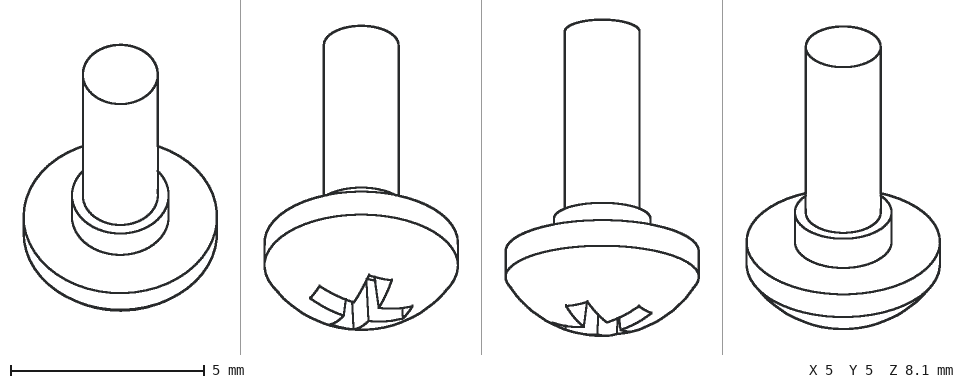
import cadquery as cq
import math

SHANK_DIAMETER = 1.94
SHANK_LENGTH = 5.1
SHOULDER_DIAMETER = 2.5
SHOULDER_LENGTH = 0.9
HEAD_DIAMETER = 5.0
RIM_HEIGHT = 0.7
HEAD_HEIGHT = 2.1
RECESS_SPAN = 2.65
RECESS_WIDTH = 0.7
RECESS_DEPTH = 1.2
RECESS_DRAFT = 5

head_radius = HEAD_DIAMETER / 2
corner_radius = math.hypot(RECESS_WIDTH / 2, RECESS_WIDTH / 2)
corner_drop = HEAD_HEIGHT - RIM_HEIGHT
center_rise = (head_radius**2 - corner_radius**2 - corner_drop**2) / (2 * corner_drop)
dome_radius = math.hypot(head_radius, center_rise)
dome_center_z = center_rise - RIM_HEIGHT
apex_z = dome_center_z - dome_radius


def make_head():
    """Short cylindrical rim with a spherical dome below it."""
    mid_radius = head_radius / 2
    mid_z = dome_center_z - math.sqrt(dome_radius**2 - mid_radius**2)
    return (
        cq.Workplane("XZ")
        .lineTo(head_radius, 0)
        .lineTo(head_radius, -RIM_HEIGHT)
        .threePointArc((mid_radius, mid_z), (0, apex_z))
        .close()
        .revolve(360, (0, 0, 0), (0, 1, 0))
    )


def make_stem():
    """Shoulder and shank standing on the seat."""
    shoulder = cq.Workplane("XY").circle(SHOULDER_DIAMETER / 2).extrude(SHOULDER_LENGTH)
    shank = (
        cq.Workplane("XY")
        .circle(SHANK_DIAMETER / 2)
        .extrude(SHOULDER_LENGTH + SHANK_LENGTH)
    )
    return shoulder.union(shank)


def make_recess_arm(length_x, length_y):
    """One arm of the cross, narrowing from its mouth at the apex to its floor."""
    floor_z = RECESS_DEPTH - HEAD_HEIGHT
    return (
        cq.Workplane("XY")
        .workplane(offset=apex_z)
        .rect(length_x, length_y)
        .extrude(floor_z - apex_z, taper=RECESS_DRAFT)
    )


def make_recess():
    """Two crossed arms cut upward from the dome."""
    arm_along_x = make_recess_arm(RECESS_SPAN, RECESS_WIDTH)
    arm_along_y = make_recess_arm(RECESS_WIDTH, RECESS_SPAN)
    return arm_along_x.union(arm_along_y)


result = make_head().union(make_stem()).cut(make_recess())